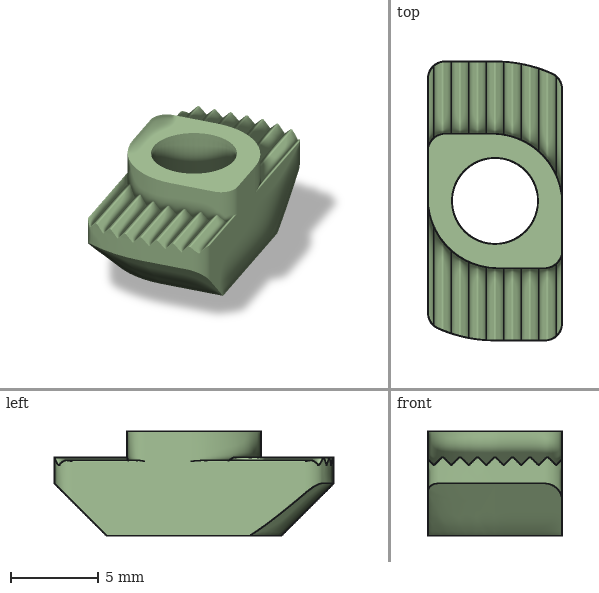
import cadquery as cq
import math

width = 7.7
length = 16.0
plate_height = 4.5
plate_corner_radius = 1.0

chamfer_height = 3.0

total_height = 6.0
boss_small_radius = 1.0
boss_large_radius = 4.0

bore_diameter = 4.917

tooth_pitch = 1.0
crest_radius = 0.1
side_round_radius = 0.05
crests_per_side = 3
crest_rounding_loss = crest_radius * (math.sqrt(2) - 1)
tooth_depth = tooth_pitch / 2 - crest_rounding_loss
valley_height = plate_height - tooth_depth

half_width = width / 2
half_length = length / 2
bottom_half_length = half_length - chamfer_height


def make_plate():
    """Plate whose ends are each half square and half rounded about the Z axis."""
    arc_end_y = math.sqrt(half_length**2 - half_width**2)
    mid_angle = math.asin(half_width / half_length) / 2
    mid_x = half_length * math.sin(mid_angle)
    mid_y = half_length * math.cos(mid_angle)
    plate = (
        cq.Workplane("XY")
        .moveTo(0, -half_length)
        .lineTo(half_width, -half_length)
        .lineTo(half_width, arc_end_y)
        .threePointArc((mid_x, mid_y), (0, half_length))
        .lineTo(-half_width, half_length)
        .lineTo(-half_width, -arc_end_y)
        .threePointArc((-mid_x, -mid_y), (0, -half_length))
        .close()
        .extrude(plate_height)
    )
    corners = plate.edges("|Z").edges("<X or >X")
    return corners.fillet(plate_corner_radius)


def make_flank_block():
    """Quadrant with +X and -Y whose end slopes outward as a flat flank."""
    return (
        cq.Workplane("YZ")
        .moveTo(0, 0)
        .lineTo(-bottom_half_length, 0)
        .lineTo(-half_length, chamfer_height)
        .lineTo(-half_length, plate_height)
        .lineTo(0, plate_height)
        .close()
        .extrude(half_width)
    )


def make_underside_envelope():
    """Conical flanks under the rounded half ends, flat flanks under the square ones."""
    turned_body = (
        cq.Workplane("XZ")
        .moveTo(0, 0)
        .lineTo(bottom_half_length, 0)
        .lineTo(half_length, chamfer_height)
        .lineTo(half_length, plate_height)
        .lineTo(0, plate_height)
        .close()
        .revolve(360, (0, 0, 0), (0, 1, 0))
    )
    flank = make_flank_block()
    opposite_flank = flank.rotate((0, 0, 0), (0, 0, 1), 180)
    return turned_body.union(flank).union(opposite_flank)


def make_serrated_bar():
    """Bar along Y whose top carries the teeth, with the outermost flanks rounded into the sides."""
    crest_half_width = crest_radius * math.sqrt(0.5)
    crest_tangent_height = valley_height + tooth_pitch / 2 - crest_half_width

    outer_valley_x = (crests_per_side + 0.5) * tooth_pitch
    side_corner_height = valley_height + half_width - outer_valley_x
    side_setback = side_round_radius / math.tan(math.radians(45) / 2)
    wall_tangent_height = side_corner_height - side_setback
    flank_tangent_x = half_width - side_setback * math.sqrt(0.5)
    flank_tangent_height = side_corner_height - side_setback * math.sqrt(0.5)
    side_mid_angle = math.radians(135) / 2
    side_mid_x = half_width - side_round_radius * (1 - math.cos(side_mid_angle))
    side_mid_height = wall_tangent_height + side_round_radius * math.sin(side_mid_angle)

    profile = (
        cq.Workplane("XZ", origin=(0, half_length, 0))
        .moveTo(-half_width, 0)
        .lineTo(-half_width, wall_tangent_height)
        .threePointArc((-side_mid_x, side_mid_height), (-flank_tangent_x, flank_tangent_height))
        .lineTo(-outer_valley_x, valley_height)
    )
    for crest in range(-crests_per_side, crests_per_side + 1):
        crest_x = crest * tooth_pitch
        profile = (
            profile.lineTo(crest_x - crest_half_width, crest_tangent_height)
            .threePointArc((crest_x, plate_height), (crest_x + crest_half_width, crest_tangent_height))
            .lineTo(crest_x + tooth_pitch / 2, valley_height)
        )
    return (
        profile.lineTo(flank_tangent_x, flank_tangent_height)
        .threePointArc((side_mid_x, side_mid_height), (half_width, wall_tangent_height))
        .lineTo(half_width, 0)
        .close()
        .extrude(length)
    )


def make_boss():
    """Square boss with two tight corners and two wide ones, filling the valleys below it."""
    large_arc_start = half_width - boss_large_radius
    large_arc_mid = boss_large_radius * math.sqrt(0.5) + large_arc_start
    boss = (
        cq.Workplane("XY", origin=(0, 0, valley_height))
        .moveTo(half_width, -half_width)
        .lineTo(half_width, large_arc_start)
        .threePointArc((large_arc_mid, large_arc_mid), (large_arc_start, half_width))
        .lineTo(-half_width, half_width)
        .lineTo(-half_width, -large_arc_start)
        .threePointArc((-large_arc_mid, -large_arc_mid), (-large_arc_start, -half_width))
        .close()
        .extrude(total_height - valley_height)
    )
    tight_corners = boss.edges("|Z").edges("<(1, -1, 0) or >(1, -1, 0)")
    return tight_corners.fillet(boss_small_radius)


body = make_plate().intersect(make_underside_envelope())
body = body.intersect(make_serrated_bar())

body = body.union(make_boss())
bore = cq.Workplane("XY").circle(bore_diameter / 2).extrude(total_height)
result = body.cut(bore)